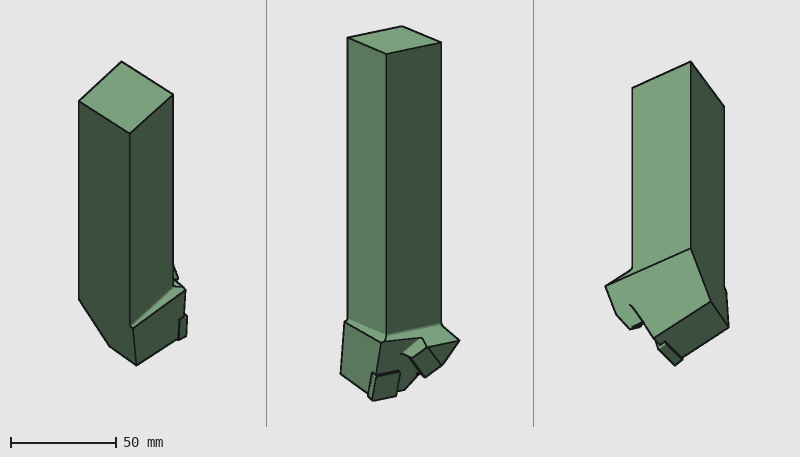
import cadquery as cq
import math

length = 171.4
shank_side = 32.0
shank_right = 32.2
side_lean = 0.5

head_depth = 46.8
head_top = 44.5
bevel_corner_z = 26.7
diagonal_slope = 1.06
entering_angle = 5.0
flank_corner_x = 36.3
flank_corner_z = 4.6
flank_relief = 0.1

shoulder_z = 30.7
shoulder_angle = 15.0
shoulder_radius = 1.7

rake_point = cq.Vector(17.6, 35.5, 10.6)
rake_x = 0.16
rake_z = 0.15
rake_normal = cq.Vector(rake_x, 1, -rake_z).normalized()

nose_left = (17.6, 10.6)
nose_right = (25.9, 21.5)
nose_chamfer_run = 9.0
nose_chamfer_drop = 3.3
nose_lip_height = 1.5
nose_undercut = 0.7
nose_foot_radius = 1.0

corner_trim = 0.077
insert_tip = cq.Vector(40.5 + corner_trim, 31.9, -corner_trim)
insert_edge = 12.9
insert_angle = 80.0
insert_thickness = 4.8
insert_corner_radius = 0.9

clearance = 102.8
tolerance = 0.002


def tan(angle):
    return math.tan(math.radians(angle))


def left_at(y):
    return side_lean * (1 - y / head_depth)


def make_shank():
    outline = [
        (left_at(0), 0),
        (shank_right, 0),
        (shank_right, shank_side),
        (left_at(shank_side), shank_side),
    ]
    bottom = shoulder_z - shoulder_radius
    return cq.Workplane("XY", origin=(0, 0, bottom)).polyline(outline).close().extrude(length - bottom)


def head_section(y):
    """Corners (X, Y, Z) of the tapered head at depth y."""
    lean = tan(entering_angle)
    x_corner = flank_corner_x + flank_relief * y
    z_corner = flank_corner_z - flank_relief * y
    x_left = left_at(y)
    x_meet = (bevel_corner_z - z_corner - lean * x_corner) / (diagonal_slope - lean)
    z_meet = bevel_corner_z - diagonal_slope * x_meet
    return [
        cq.Vector(x_left, y, head_top),
        cq.Vector(x_left, y, bevel_corner_z - diagonal_slope * x_left),
        cq.Vector(x_meet, y, z_meet),
        cq.Vector(x_corner, y, z_corner),
        cq.Vector(x_corner - lean * (head_top - z_corner), y, head_top),
    ]


def make_tapered_head():
    sections = [cq.Wire.makePolygon(head_section(y), close=True) for y in (0, head_depth)]
    return cq.Workplane(obj=cq.Solid.makeLoft(sections, True))


def shoulder_cutter(plane, shank_face):
    """Solid above a shoulder sloping down and away from a shank face."""
    slope = math.radians(shoulder_angle)
    tangent = shoulder_radius * math.tan((math.pi / 2 - slope) / 2)
    root_end = (
        shank_face + tangent * math.cos(slope),
        shoulder_z - tangent * math.sin(slope),
    )
    middle = (math.pi + math.pi * 1.5 - slope) / 2
    center = (shank_face + shoulder_radius, shoulder_z + tangent)
    root_middle = (
        center[0] + shoulder_radius * math.cos(middle),
        center[1] + shoulder_radius * math.sin(middle),
    )
    return (
        cq.Workplane(plane)
        .moveTo(shank_face, center[1])
        .threePointArc(root_middle, root_end)
        .lineTo(shank_face + clearance, shoulder_z - clearance * tan(shoulder_angle))
        .lineTo(shank_face + clearance, clearance)
        .lineTo(shank_face, clearance)
        .close()
        .extrude(clearance, both=True)
    )


def make_nose_strip():
    """Strip running back from the nose end face, with its top sloping down to that face."""
    across = cq.Vector(nose_right[0] - nose_left[0], 0, nose_right[1] - nose_left[1])
    forward = cq.Vector(across.z, 0, -across.x).normalized()
    origin = cq.Vector(nose_left[0], 0, nose_left[1])
    lip_top = head_depth - nose_chamfer_drop
    lip_bottom = lip_top - nose_lip_height
    profile = [
        (-nose_undercut, 0),
        (-nose_undercut, lip_bottom),
        (0, lip_bottom),
        (0, lip_top),
        (-nose_chamfer_run, head_depth),
        (-clearance, head_depth),
        (-clearance, 0),
    ]
    side_plane = cq.Plane(origin=origin, xDir=forward, normal=across)
    return cq.Workplane(side_plane).polyline(profile).close().extrude(across.Length)


def is_nose_foot(edge):
    """True for an edge in the rake plane along a side or the end of the nose."""
    middle = edge.positionAt(0.5)
    in_rake_plane = abs((middle - rake_point).dot(rake_normal)) < tolerance
    gap = make_nose_strip().val().distance(cq.Vertex.makeVertex(*middle.toTuple()))
    return in_rake_plane and gap < tolerance


def above_rake():
    plane = cq.Plane(origin=rake_point, xDir=cq.Vector(1, -rake_x, 0), normal=rake_normal)
    return cq.Workplane(plane).rect(2 * clearance, 2 * clearance).extrude(clearance)


def insert_plate(corner_radius):
    """Rhombic plate with its unrounded tip corner, on its top face, at insert_tip."""
    toward_left = cq.Vector(-1, 0, tan(entering_angle))
    in_plane = toward_left - rake_normal * toward_left.dot(rake_normal)
    plane = cq.Plane(origin=insert_tip, xDir=in_plane, normal=rake_normal)
    reach_x = insert_edge * math.cos(math.radians(insert_angle))
    reach_y = insert_edge * math.sin(math.radians(insert_angle))
    outline = [(0, 0), (insert_edge, 0), (insert_edge + reach_x, reach_y), (reach_x, reach_y)]
    plate = cq.Workplane(plane).polyline(outline).close().extrude(-insert_thickness)
    return plate.edges(cq.selectors.ParallelDirSelector(rake_normal)).fillet(corner_radius)


def make_holder(insert):
    head = make_tapered_head()
    head = head.cut(shoulder_cutter("XZ", shank_right))
    head = head.cut(shoulder_cutter("YZ", shank_side))
    head = head.cut(above_rake().cut(make_nose_strip()))
    foot_edges = [edge for edge in head.edges().vals() if is_nose_foot(edge)]
    head = head.newObject(foot_edges).fillet(nose_foot_radius)
    return make_shank().union(head).cut(insert)


insert = insert_plate(insert_corner_radius)
holder = make_holder(insert)

result = cq.Compound.makeCompound([holder.val(), insert.val()])